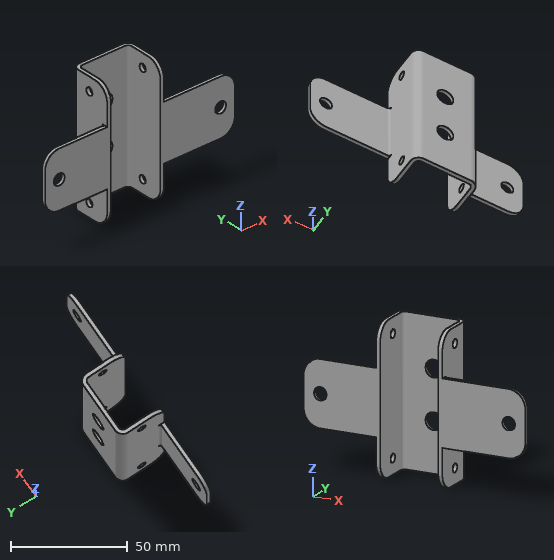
import cadquery as cq

total_length = 107.0
depth = 23.0
channel_height = 71.0
thickness = 2.0

channel_width = 32.0
left_wing_reach = 35.0
bend_inner_radius = 2.0
bend_outer_radius = bend_inner_radius + thickness
wall_corner_radius = 8.0

wing_height = 31.2
wing_corner_radius = 8.0
wing_root_radius = 1.0

wing_hole_diameter = 6.0
wing_hole_inset = 8.0
web_hole_diameter = 8.0
web_hole_spacing = 23.6
web_hole_offset = 1.0
wall_hole_diameter = 4.0
wall_hole_spacing = 56.0
wall_hole_from_back = 11.2

left_end = -total_length / 2
right_end = total_length / 2
front = -depth / 2
back = depth / 2
channel_left = left_end + left_wing_reach
channel_right = channel_left + channel_width
channel_middle = (channel_left + channel_right) / 2


def box_between(x_min, x_max, y_min, y_max, height):
    """Box between X and Y limits, centred on Z = 0."""
    return (
        cq.Workplane("XY")
        .box(x_max - x_min, y_max - y_min, height, centered=(False, False, True))
        .translate((x_min, y_min, 0))
    )


def make_channel():
    """U channel with rounded bends and rounded front corners on its walls."""
    outer = box_between(channel_left, channel_right, front, back, channel_height)
    outer = outer.edges("|Z and >Y").fillet(bend_outer_radius)
    outer = outer.edges("|X and <Y").fillet(wall_corner_radius)
    inner = box_between(
        channel_left + thickness, channel_right - thickness,
        front - thickness, back - thickness, channel_height,
    )
    return outer.cut(inner.edges("|Z and >Y").fillet(bend_inner_radius))


def make_wing(end, wall_face, inward):
    """Wing from its free end to a channel wall; inward is the X direction to the wall."""
    x_min, x_max = sorted((end, wall_face + inward * thickness))
    wing = box_between(x_min, x_max, front, front + thickness, wing_height)
    free_side = "<X" if inward > 0 else ">X"
    wing = wing.edges("|Y").edges(free_side).fillet(wing_corner_radius)
    hole = (
        cq.Workplane("XZ", origin=(end + inward * wing_hole_inset, 0, 0))
        .circle(wing_hole_diameter / 2)
        .extrude(depth, both=True)
    )
    wing_back = front + thickness
    root = (
        cq.Workplane("XY")
        .moveTo(wall_face, wing_back)
        .lineTo(wall_face, wing_back + wing_root_radius)
        .radiusArc(
            (wall_face - inward * wing_root_radius, wing_back),
            inward * wing_root_radius,
        )
        .close()
        .extrude(wing_height / 2, both=True)
    )
    return wing.cut(hole).union(root)


def make_web_holes():
    """Pair of holes through the back web."""
    return (
        cq.Workplane("XZ", origin=(channel_middle + web_hole_offset, 0, 0))
        .rarray(1.1, web_hole_spacing, 1, 2)
        .circle(web_hole_diameter / 2)
        .extrude(depth, both=True)
    )


def make_wall_holes():
    """Pair of holes through both side walls."""
    return (
        cq.Workplane("YZ", origin=(0, back - wall_hole_from_back, 0))
        .rarray(1.1, wall_hole_spacing, 1, 2)
        .circle(wall_hole_diameter / 2)
        .extrude(total_length, both=True)
    )


channel = make_channel().cut(make_web_holes()).cut(make_wall_holes())
left_wing = make_wing(left_end, channel_left, 1)
right_wing = make_wing(right_end, channel_right, -1)
result = channel.union(left_wing).union(right_wing)